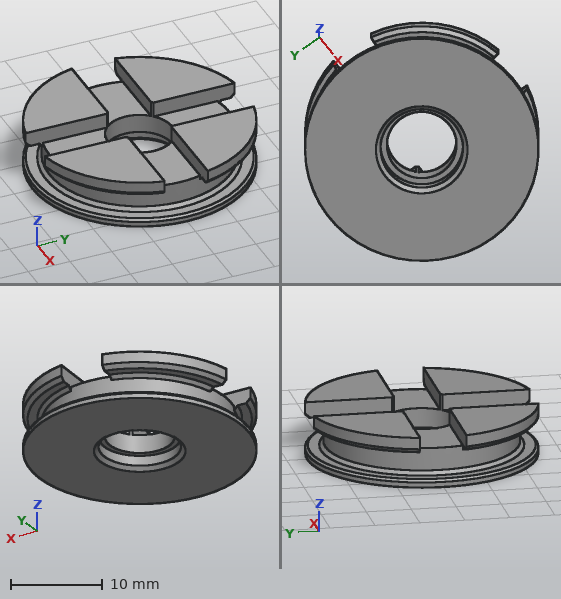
import cadquery as cq

outer_diameter = 25.5
core_diameter = 21.5
total_height = 5.7
outer_radius = outer_diameter / 2
core_radius = core_diameter / 2

flange_thickness = 0.9
flange_chamfer = 0.3
jaw_underside_z = 3.9
jaw_chamfer = 0.5
corner_chamfer = 0.45
corner_radius = core_radius + corner_chamfer

slot_width = 5.15

bore_diameter = 7.6
counterbore_diameter = 9.0
counterbore_depth = 1.7
mouth_chamfer = 0.5


def revolve_profile(points):
    """Solid of revolution about Z from a closed outline of (radius, z) points."""
    return cq.Workplane("XZ").polyline(points).close().revolve(360, (0, 0), (0, 1))


def make_base():
    """Chamfered flange with the round core standing on it, up to the slot floors."""
    return revolve_profile([
        (0, 0),
        (outer_radius, 0),
        (outer_radius, flange_thickness - flange_chamfer),
        (outer_radius - flange_chamfer, flange_thickness),
        (corner_radius, flange_thickness),
        (core_radius, flange_thickness + corner_chamfer),
        (core_radius, jaw_underside_z),
        (0, jaw_underside_z),
    ])


def make_jaws():
    """Top plate and its sloped root, split into four jaws by two crossing slots."""
    root_z = jaw_underside_z - corner_chamfer
    plate = revolve_profile([
        (0, root_z),
        (core_radius, root_z),
        (corner_radius, jaw_underside_z),
        (outer_radius - jaw_chamfer, jaw_underside_z),
        (outer_radius, jaw_underside_z + jaw_chamfer),
        (outer_radius, total_height),
        (0, total_height),
    ])
    slot_plane = cq.Workplane("XY").workplane(offset=root_z)
    slot_along_x = slot_plane.rect(outer_diameter, slot_width).extrude(total_height - root_z)
    slot_along_y = slot_along_x.rotate((0, 0, 0), (0, 0, 1), 90)
    return plate.cut(slot_along_x).cut(slot_along_y)


def make_bore():
    """Stepped through bore with a chamfered mouth on the bottom face."""
    bore_radius = bore_diameter / 2
    counterbore_radius = counterbore_diameter / 2
    return revolve_profile([
        (0, 0),
        (counterbore_radius + mouth_chamfer, 0),
        (counterbore_radius, mouth_chamfer),
        (counterbore_radius, counterbore_depth),
        (bore_radius, counterbore_depth),
        (bore_radius, total_height),
        (0, total_height),
    ])


result = make_base().union(make_jaws()).cut(make_bore())